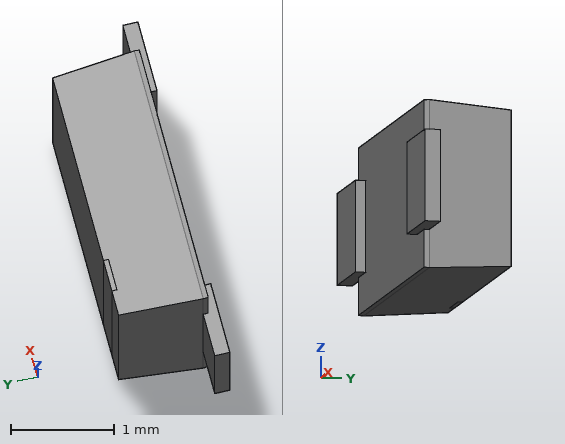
import cadquery as cq
import math

overall_length = 3.6
overall_depth = 0.98

housing_length = 2.7
housing_height = 1.65
draft_angle = 4.0
base_depth = 0.05

lead_length = 0.75
lead_height = 0.9
lead_thickness = 0.15

band_width = 0.33
band_depth = 0.05
band_center_x = -0.865

front_y = 0.0
parting_y = front_y + lead_thickness
back_y = front_y + overall_depth
back_depth = back_y - parting_y


def drafted_block(depth, direction):
    """Rectangle on the parting plane, tapering along direction (+1 or -1) in Y."""
    inset = depth * math.tan(math.radians(draft_angle))
    return (
        cq.Workplane(cq.Plane((0, parting_y, 0), xDir=(1, 0, 0), normal=(0, direction, 0)))
        .rect(housing_length, housing_height)
        .workplane(offset=depth)
        .rect(housing_length - 2 * inset, housing_height - 2 * inset)
        .loft(ruled=True, combine=True)
    )


def make_lead(side):
    """Lead on the -X side (side = -1) or the +X side (side = 1)."""
    center_x = side * (overall_length - lead_length) / 2
    center_y = front_y + lead_thickness / 2
    return (
        cq.Workplane("XY")
        .box(lead_length, lead_thickness, lead_height)
        .translate((center_x, center_y, 0))
    )


molding = drafted_block(back_depth, 1).union(drafted_block(base_depth, -1))

leads = [make_lead(side) for side in (-1, 1)]

band_slab = (
    cq.Workplane("XY")
    .box(band_width, band_depth, housing_height)
    .translate((band_center_x, back_y - band_depth / 2, 0))
)
polarity_band = band_slab.intersect(molding)

housing = molding.cut(band_slab)
for lead in leads:
    housing = housing.cut(lead)

result = cq.Compound.makeCompound(
    [housing.val(), polarity_band.val(), *[lead.val() for lead in leads]]
)